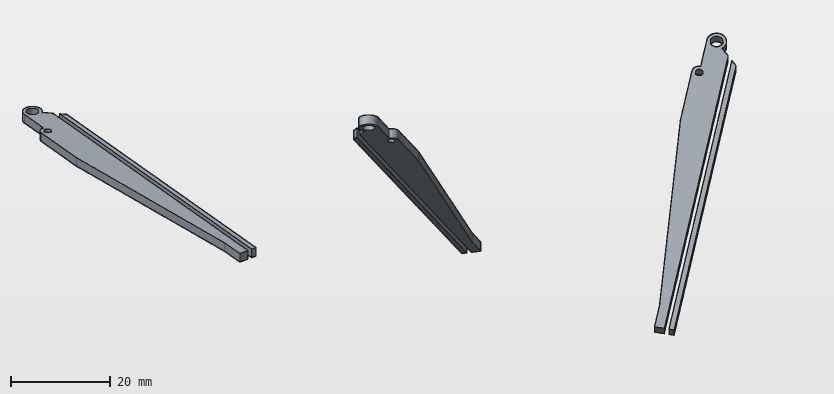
import cadquery as cq
import math

length = 72.0
width = 8.5
thickness = 2.0

pivot_eye_radius = 2.0
pivot_hole_diameter = 2.5
pin_eye_radius = 1.5
pin_hole_diameter = 1.5
pin_distance = 8.0
arm_width = 6.5
taper_start_x = 22.0
tip_length = 5.1
tip_width = 2.0

rail_width = 1.1

pivot_x = pivot_eye_radius
pivot_y = pin_eye_radius + pivot_eye_radius
pin_x = pivot_x + pin_distance
pin_y = pin_eye_radius
neck_y = pivot_y - pivot_eye_radius
rail_y = width - rail_width


def slanted_end_x(y):
    """X at height y on the 45 degree line through the pivot that ends both bodies."""
    return pivot_x + y - pivot_y


def make_arm():
    diagonal = math.sqrt(0.5)
    eye_offset = pivot_eye_radius * diagonal
    pin_offset = pin_eye_radius * diagonal
    outline = (
        cq.Workplane("XY")
        .moveTo(pivot_x, neck_y)
        .lineTo(pin_x - pin_eye_radius, neck_y)
        .threePointArc((pin_x - pin_offset, pin_y - pin_offset), (pin_x, 0))
        .lineTo(taper_start_x, 0)
        .lineTo(length - tip_length, arm_width - tip_width)
        .lineTo(length, arm_width - tip_width)
        .lineTo(length, arm_width)
        .lineTo(slanted_end_x(arm_width), arm_width)
        .lineTo(pivot_x + eye_offset, pivot_y + eye_offset)
        .threePointArc((pivot_x - eye_offset, pivot_y + eye_offset), (pivot_x - pivot_eye_radius, pivot_y))
        .threePointArc((pivot_x - eye_offset, pivot_y - eye_offset), (pivot_x, neck_y))
        .close()
    )
    plate = outline.extrude(thickness)
    pivot_hole = cq.Workplane("XY").center(pivot_x, pivot_y).circle(pivot_hole_diameter / 2).extrude(thickness)
    pin_hole = cq.Workplane("XY").center(pin_x, pin_y).circle(pin_hole_diameter / 2).extrude(thickness)
    return plate.cut(pivot_hole).cut(pin_hole)


def make_rail():
    return (
        cq.Workplane("XY")
        .moveTo(slanted_end_x(rail_y), rail_y)
        .lineTo(length, rail_y)
        .lineTo(length, width)
        .lineTo(slanted_end_x(width), width)
        .close()
        .extrude(thickness)
    )


arm = make_arm()
rail = make_rail()

result = cq.Compound.makeCompound([arm.val(), rail.val()])